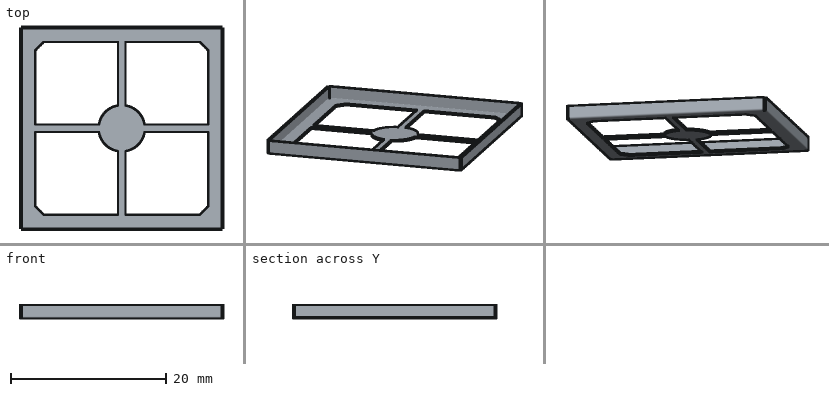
import cadquery as cq
import math

side = 26.28
height = 1.78
thickness = 0.25
inner_bend_radius = 0.01
border = 2.02
window_chamfer = 1.05
spoke_width = 1.0
hub_diameter = 6.0
flange_count = 4

half_side = side / 2
outer_bend_radius = inner_bend_radius + thickness
flat_half = half_side - outer_bend_radius
inner_half = half_side - thickness
window_side = side - 2 * border


def make_floor():
    """Flat square sheet reaching to the start of the bends."""
    return cq.Workplane("XY").rect(2 * flat_half, 2 * flat_half).extrude(thickness)


def make_flange():
    """Upright wall with its quarter-round bend, on the +X side; its ends leave the tray corners open."""
    diagonal = math.sqrt(0.5)
    bend_height = outer_bend_radius
    profile = (
        cq.Workplane("XZ")
        .moveTo(flat_half, 0)
        .threePointArc(
            (flat_half + outer_bend_radius * diagonal, bend_height - outer_bend_radius * diagonal),
            (half_side, bend_height),
        )
        .lineTo(half_side, height)
        .lineTo(inner_half, height)
        .lineTo(inner_half, bend_height)
        .threePointArc(
            (flat_half + inner_bend_radius * diagonal, bend_height - inner_bend_radius * diagonal),
            (flat_half, thickness),
        )
        .close()
    )
    return profile.extrude(flat_half, both=True)


def make_windows():
    """Chamfered square opening, less the cross bars and disc that span it."""
    opening = cq.Workplane("XY").rect(window_side, window_side).extrude(thickness)
    opening = opening.edges("|Z").chamfer(window_chamfer)
    bar_x = cq.Workplane("XY").rect(window_side, spoke_width).extrude(thickness)
    bar_y = cq.Workplane("XY").rect(spoke_width, window_side).extrude(thickness)
    hub = cq.Workplane("XY").circle(hub_diameter / 2).extrude(thickness)
    return opening.cut(bar_x).cut(bar_y).cut(hub)


result = make_floor()
for turn in range(flange_count):
    result = result.union(make_flange().rotate((0, 0, 0), (0, 0, 1), 360 / flange_count * turn))
result = result.cut(make_windows())